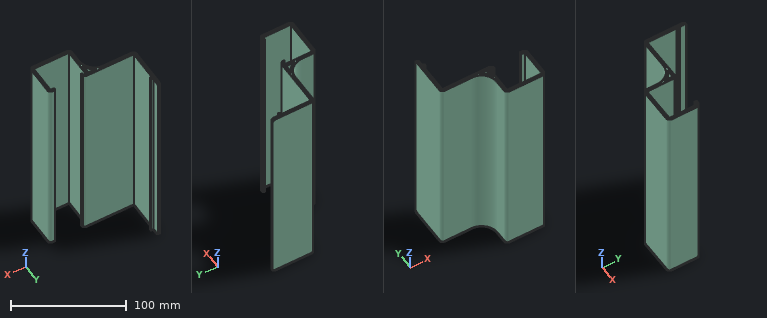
import cadquery as cq

length = 200.0
width = 87.2
depth = 73.0

wall = 2.0
bend_radius = 3.0

web_top = 32.5
web_bottom = web_top - wall
channel_left = 47.0
flange_corner_radius = 3.0

lip_length = 5.8

hook_right = 53.0
hook_bottom = 28.5
hook_thickness = 1.0

rib_projection = 2.2
rib_width = 2.0
rib_bottom = 63.0

gusset_radius = 16.0
gusset_thickness = 1.8


def block(left, right, bottom, top):
    """Full-length bar with a rectangular section."""
    bar = cq.Workplane("XY").box(right - left, top - bottom, length, centered=False)
    return bar.translate((left, bottom, 0))


def make_flange_and_web():
    """Angle formed by the tall flange and the web, rounded at the bend and the free end."""
    upright = block(0, wall, web_bottom, depth)
    upright = upright.edges("|X and >Y").fillet(flange_corner_radius)
    web = block(0, hook_right, web_bottom, web_top)
    hook = block(hook_right - hook_thickness, hook_right, hook_bottom, web_top)
    angle = upright.union(web).union(hook)
    for corner in ((0, web_bottom, length / 2), (hook_right, web_top, length / 2)):
        angle = angle.edges(cq.selectors.NearestToPointSelector(corner)).fillet(bend_radius)
    return angle


def make_channel():
    """Square channel, open at the back apart from a short lip on the right wall."""
    outer = block(channel_left, width, 0, web_top)
    outer = outer.edges("|Z and (<Y or >X)").fillet(bend_radius)
    inner = block(channel_left + wall, width - wall, wall, web_bottom)
    mouth = block(channel_left + wall, width - lip_length, web_bottom, web_top)
    return outer.cut(inner).cut(mouth)


def make_rib():
    """Small square rib standing on the inner face of the flange."""
    return block(wall, wall + rib_projection, rib_bottom, rib_bottom + rib_width)


def make_gusset():
    """Concave gusset between web and channel, leaving a hollow in the corner behind it."""
    arc_left = channel_left - gusset_radius
    arc_bottom = web_bottom - gusset_radius
    corner = block(arc_left, channel_left, arc_bottom, web_bottom)
    ring = (
        cq.Workplane("XY")
        .center(arc_left, arc_bottom)
        .circle(gusset_radius + gusset_thickness)
        .circle(gusset_radius)
        .extrude(length)
    )
    return corner.intersect(ring)


result = make_flange_and_web().union(make_channel()).union(make_rib()).union(make_gusset())